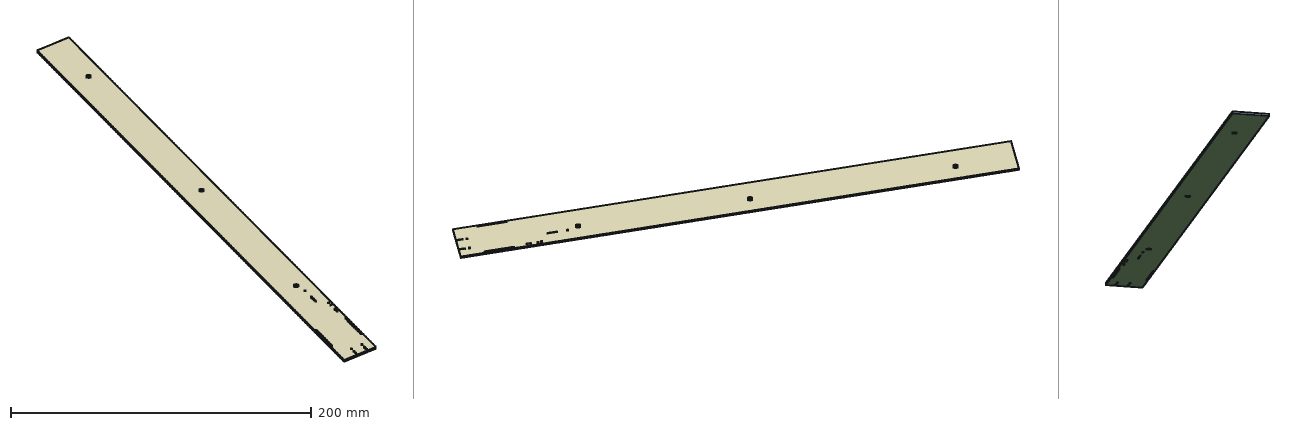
import cadquery as cq

length = 380.0
width = 25.0
thickness = 1.6

mounting_hole_diameter = 3.2
hole_row_y = 2.0
mounting_hole_positions_x = (-149.0, -9.0, 108.0)

slit_width = 0.65
small_hole_diameter = 1.0

end_row_offset = 4.0
end_hole_x = 182.8
end_slit_length = 4.5

middle_row_y = 4.0
middle_hole_x = 115.5
middle_slit_start_x = 122.7
middle_slit_end_x = 129.2

side_row_y = 10.5
side_hole_positions_x = (134.5, 137.0)
side_slit_start_x = 141.7
side_slit_end_x = 145.0

edge_slit_start_x = 153.5
edge_slit_end_x = 173.5
edge_slit_inset = 0.95


def round_holes(positions, diameter):
    """Cutter for through holes of one diameter at the given (x, y) positions."""
    return (
        cq.Workplane("XY")
        .pushPoints(positions)
        .circle(diameter / 2)
        .extrude(thickness)
    )


def slit(start_x, end_x, center_y):
    """Cutter for a round-ended through slit along X."""
    return (
        cq.Workplane("XY")
        .center((start_x + end_x) / 2, center_y)
        .slot2D(end_x - start_x, slit_width)
        .extrude(thickness)
    )


strip = cq.Workplane("XY").box(length, width, thickness, centered=(True, True, False))

mounting_holes = [(x, hole_row_y) for x in mounting_hole_positions_x]
result = strip.cut(round_holes(mounting_holes, mounting_hole_diameter))

small_holes = [(middle_hole_x, middle_row_y)]
small_holes += [(x, side_row_y) for x in side_hole_positions_x]
result = result.cut(slit(middle_slit_start_x, middle_slit_end_x, middle_row_y))
result = result.cut(slit(side_slit_start_x, side_slit_end_x, side_row_y))

for side in (1, -1):
    end_row_y = hole_row_y + side * end_row_offset
    small_holes.append((end_hole_x, end_row_y))

    end_x = length / 2
    result = result.cut(slit(end_x - end_slit_length, end_x + end_slit_length, end_row_y))

    edge_slit_y = side * (width / 2 - edge_slit_inset)
    result = result.cut(slit(edge_slit_start_x, edge_slit_end_x, edge_slit_y))

result = result.cut(round_holes(small_holes, small_hole_diameter))